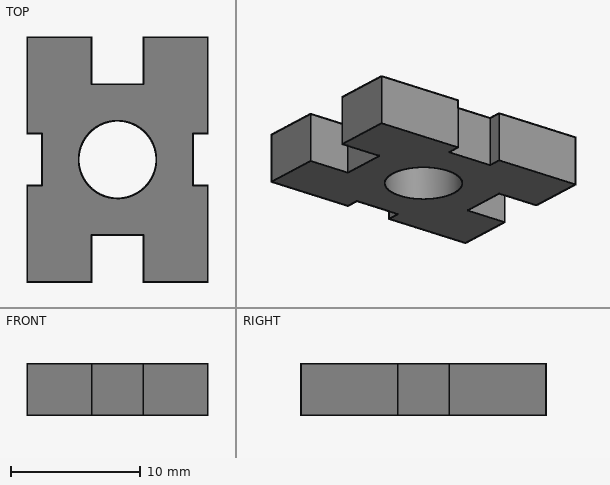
import cadquery as cq

width = 14.0
length = 19.0
thickness = 4.0

notch_width = thickness
core_size = 11.7

bore_diameter = 6.0


def notch_pair(size_x, size_y, offset_x, offset_y):
    """Two through-notch cutters placed symmetrically about the plate centre."""
    return (
        cq.Workplane("XY")
        .pushPoints([(offset_x, offset_y), (-offset_x, -offset_y)])
        .rect(size_x, size_y)
        .extrude(thickness)
    )


plate = cq.Workplane("XY").rect(width, length).extrude(thickness)
plate = plate.faces(">Z").workplane().hole(bore_diameter)

end_depth = (length - core_size) / 2
side_depth = (width - core_size) / 2
end_notches = notch_pair(notch_width, end_depth, 0, (length - end_depth) / 2)
side_notches = notch_pair(side_depth, notch_width, (width - side_depth) / 2, 0)

result = plate.cut(end_notches).cut(side_notches)